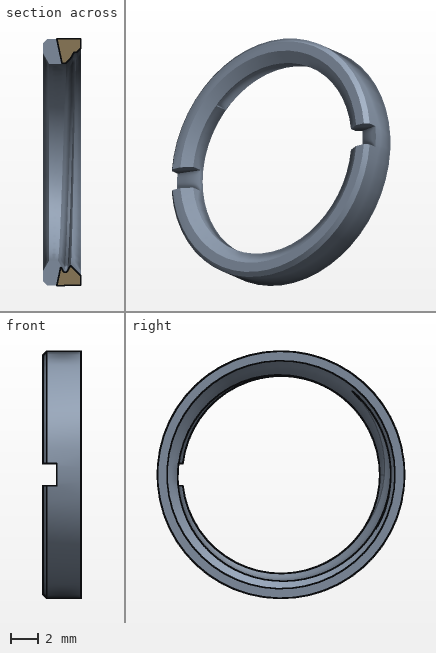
import cadquery as cq
import math

outer_diameter = 18.0
width = 2.8
outer_chamfer = 0.3

thread_major_diameter = 16.0
thread_pitch = 1.5
flank_angle = 30.0
groove_root_width = thread_pitch / 8
thread_depth_ratio = 5 / 8
thread_overcut = 0.1
thread_start_angle = 45.0
thread_start_x = 1.075
thread_turns = 1.25

front_countersink_angle = 30.0
rear_countersink_diameter = 16.6
rear_countersink_angle = 45.0

slot_width = 1.6
slot_edge_depth = 1.0
slot_floor_angle = 12.0

outer_radius = outer_diameter / 2
major_radius = thread_major_diameter / 2
sharp_height = thread_pitch / (2 * math.tan(math.radians(flank_angle)))
bore_radius = major_radius - thread_depth_ratio * sharp_height
rear_radius = rear_countersink_diameter / 2


def countersink_depth(mouth_radius, angle):
    """Depth at which a countersink narrows to the bore; angle from the end face."""
    return (mouth_radius - bore_radius) * math.tan(math.radians(angle))


def ring_body():
    """Revolved ring with a chamfered rim and a countersunk bore."""
    front_depth = countersink_depth(major_radius, front_countersink_angle)
    rear_depth = countersink_depth(rear_radius, rear_countersink_angle)
    return (
        cq.Workplane("XY")
        .moveTo(0, major_radius)
        .lineTo(0, outer_radius - outer_chamfer)
        .lineTo(outer_chamfer, outer_radius)
        .lineTo(width, outer_radius)
        .lineTo(width, rear_radius)
        .lineTo(width - rear_depth, bore_radius)
        .lineTo(front_depth, bore_radius)
        .close()
        .revolve(360, (0, 0, 0), (1, 0, 0))
    )


def thread_groove():
    """Right-hand helical groove, built along Z and then laid along X."""
    inner_radius = bore_radius - thread_overcut
    half_root = groove_root_width / 2
    half_mouth = half_root + (major_radius - inner_radius) * math.tan(math.radians(flank_angle))
    path = cq.Wire.makeHelix(thread_pitch, thread_pitch * thread_turns, major_radius)
    groove = (
        cq.Workplane("XZ")
        .moveTo(inner_radius, -half_mouth)
        .lineTo(major_radius, -half_root)
        .lineTo(major_radius, half_root)
        .lineTo(inner_radius, half_mouth)
        .close()
        .sweep(cq.Workplane(obj=path), isFrenet=True)
    )
    groove = groove.rotate((0, 0, 0), (0, 1, 0), 90)
    turn_to_start = 90 + thread_start_angle
    return (
        groove.rotate((0, 0, 0), (1, 0, 0), turn_to_start)
        .translate((thread_start_x, 0, 0))
    )


def spanner_slots():
    """Slot cutter across the diameter with a floor sloping to the axis."""
    centre_depth = slot_edge_depth + outer_radius * math.tan(math.radians(slot_floor_angle))
    return (
        cq.Workplane("XY")
        .moveTo(0, -outer_radius)
        .lineTo(slot_edge_depth, -outer_radius)
        .lineTo(centre_depth, 0)
        .lineTo(slot_edge_depth, outer_radius)
        .lineTo(0, outer_radius)
        .close()
        .extrude(slot_width / 2, both=True)
    )


result = ring_body().cut(thread_groove()).cut(spanner_slots())